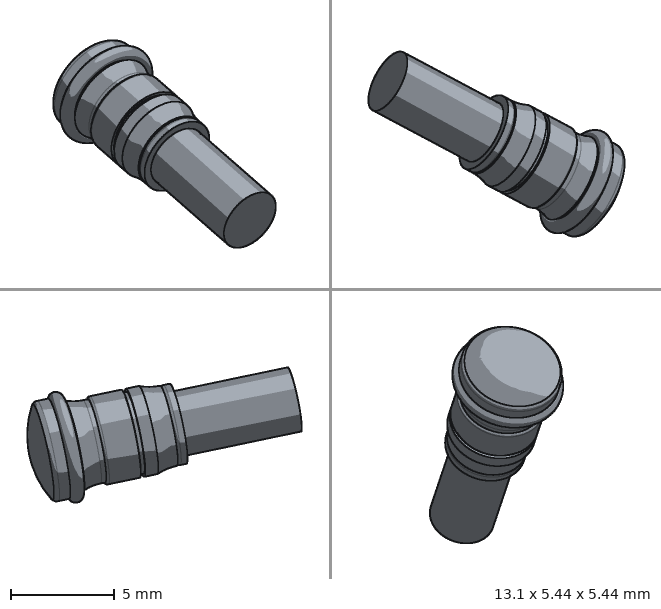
import cadquery as cq
import math

DOME_EDGE_X = 0.64
RIM_START_X = 0.88
HEAD_BACK_X = 1.43
RING_CENTER_X = 1.78
NECK_START_X = 2.18
NECK_END_X = 3.05
LAND_FOOT_X = 3.3
GROOVE_START_X = 4.98
GROOVE_END_X = 5.2
TAPER_START_X = 5.85
TAPER_END_X = 6.85
COLLAR_END_X = 7.34
OVERALL_LENGTH = 13.08

DOME_EDGE_R = 2.35
HEAD_R = 2.47
RING_OUTER_R = 2.72
RING_SECTION_R = RING_CENTER_X - HEAD_BACK_X
RING_CENTER_R = RING_OUTER_R - RING_SECTION_R
SEAT_R = RING_CENTER_R - RING_SECTION_R
NECK_START_R = 2.22
NECK_END_R = 2.05
LAND_R = 2.17
LAND_ROUND_R = LAND_R - NECK_END_R
GROOVE_R = 2.01
COLLAR_R = 1.98
COLLAR_ROUND_R = 0.16
STEM_R = 1.58


def dome_middle():
    """Point halfway along the spherical arc from the tip to the dome edge."""
    sphere_r = (DOME_EDGE_R**2 + DOME_EDGE_X**2) / (2 * DOME_EDGE_X)
    half_angle = math.asin(DOME_EDGE_R / sphere_r) / 2
    return sphere_r * (1 - math.cos(half_angle)), sphere_r * math.sin(half_angle)


def arc_middle(start, end):
    """Middle of a concave arc that falls from start and ends parallel to the axis."""
    run = end[0] - start[0]
    drop = start[1] - end[1]
    arc_r = (run**2 + drop**2) / (2 * drop)
    half_angle = math.asin(run / arc_r) / 2
    return end[0] - arc_r * math.sin(half_angle), end[1] + arc_r * (1 - math.cos(half_angle))


def quarter_round_middle(foot_x, crest_r, round_r):
    """Middle of a convex quarter round that rises from a face to a cylinder."""
    offset = round_r * (1 - math.sqrt(0.5))
    return foot_x + offset, crest_r - offset


def turn(profile):
    """Close a half profile and revolve it about the X axis."""
    return profile.close().revolve(360, (0, 0, 0), (1, 0, 0))


def make_housing():
    """Domed head with a ring seat, waisted neck, grooved land and tapered end."""
    neck_start = (NECK_START_X, NECK_START_R)
    neck_end = (NECK_END_X, NECK_END_R)
    taper_start = (TAPER_START_X, LAND_R)
    taper_end = (TAPER_END_X, COLLAR_R)
    profile = (
        cq.Workplane("XY")
        .moveTo(0, 0)
        .threePointArc(dome_middle(), (DOME_EDGE_X, DOME_EDGE_R))
        .spline([(RIM_START_X, HEAD_R)], tangents=[(1, 1), (1, 0)], includeCurrent=True)
        .lineTo(HEAD_BACK_X, HEAD_R)
        .lineTo(HEAD_BACK_X, SEAT_R)
        .lineTo(NECK_START_X, SEAT_R)
        .lineTo(*neck_start)
        .threePointArc(arc_middle(neck_start, neck_end), neck_end)
        .lineTo(LAND_FOOT_X, NECK_END_R)
        .threePointArc(
            quarter_round_middle(LAND_FOOT_X, LAND_R, LAND_ROUND_R),
            (LAND_FOOT_X + LAND_ROUND_R, LAND_R),
        )
        .lineTo(GROOVE_START_X, LAND_R)
        .lineTo(GROOVE_START_X, GROOVE_R)
        .lineTo(GROOVE_END_X, GROOVE_R)
        .lineTo(GROOVE_END_X, LAND_R)
        .lineTo(*taper_start)
        .threePointArc(arc_middle(taper_start, taper_end), taper_end)
        .lineTo(TAPER_END_X, 0)
    )
    return turn(profile)


def make_ring():
    """Sealing ring of round section."""
    return (
        cq.Workplane("XY")
        .center(RING_CENTER_X, RING_CENTER_R)
        .circle(RING_SECTION_R)
        .revolve(360, (0, -RING_CENTER_R, 0), (1, -RING_CENTER_R, 0))
    )


def make_stem():
    """Collar with a rounded front edge, butted on the housing, and a plain rod."""
    profile = (
        cq.Workplane("XY")
        .moveTo(TAPER_END_X, 0)
        .lineTo(TAPER_END_X, COLLAR_R - COLLAR_ROUND_R)
        .threePointArc(
            quarter_round_middle(TAPER_END_X, COLLAR_R, COLLAR_ROUND_R),
            (TAPER_END_X + COLLAR_ROUND_R, COLLAR_R),
        )
        .lineTo(COLLAR_END_X, COLLAR_R)
        .lineTo(COLLAR_END_X, STEM_R)
        .lineTo(OVERALL_LENGTH, STEM_R)
        .lineTo(OVERALL_LENGTH, 0)
    )
    return turn(profile)


housing = make_housing()
ring = make_ring()
stem = make_stem()

result = cq.Compound.makeCompound([housing.val(), ring.val(), stem.val()])